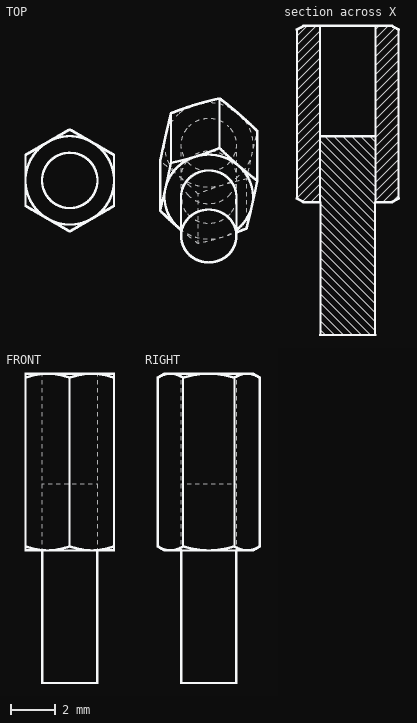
import cadquery as cq
import math

TOTAL_LENGTH = 14.0
STUD_EXPOSED = 6.0
ACROSS_FLATS = 4.0
BORE_DIAMETER = 2.5
STUD_ENGAGEMENT = 3.0
CHAMFER_ANGLE = 30.0

HEX_SIDES = 6

half_side_angle = 180 / HEX_SIDES
hex_length = TOTAL_LENGTH - STUD_EXPOSED
flat_radius = ACROSS_FLATS / 2
corner_radius = flat_radius / math.cos(math.radians(half_side_angle))
corner_drop = (corner_radius - flat_radius) * math.tan(math.radians(CHAMFER_ANGLE))


def make_chamfer_envelope():
    """Round blank with conical ends that trims the corners of the hexagon."""
    return (
        cq.Workplane("XZ")
        .moveTo(0, 0)
        .lineTo(flat_radius, 0)
        .lineTo(corner_radius, corner_drop)
        .lineTo(corner_radius, hex_length - corner_drop)
        .lineTo(flat_radius, hex_length)
        .lineTo(0, hex_length)
        .close()
        .revolve(360, (0, 0, 0), (0, 1, 0))
    )


def make_hex_sleeve():
    """Hexagonal sleeve with chamfered corners, a through bore and its base at Z = 0."""
    hexagon = (
        cq.Workplane("XY")
        .polygon(HEX_SIDES, 2 * corner_radius)
        .extrude(hex_length)
        .rotate((0, 0, 0), (0, 0, 1), half_side_angle)
    )
    bore = cq.Workplane("XY").circle(BORE_DIAMETER / 2).extrude(hex_length)
    return hexagon.intersect(make_chamfer_envelope()).cut(bore)


def make_stud():
    """Plain round stud that fills the lower part of the bore."""
    return (
        cq.Workplane("XY")
        .workplane(offset=-STUD_EXPOSED)
        .circle(BORE_DIAMETER / 2)
        .extrude(STUD_EXPOSED + STUD_ENGAGEMENT)
    )


hex_sleeve = make_hex_sleeve()
stud = make_stud()

result = cq.Compound.makeCompound([hex_sleeve.val(), stud.val()])